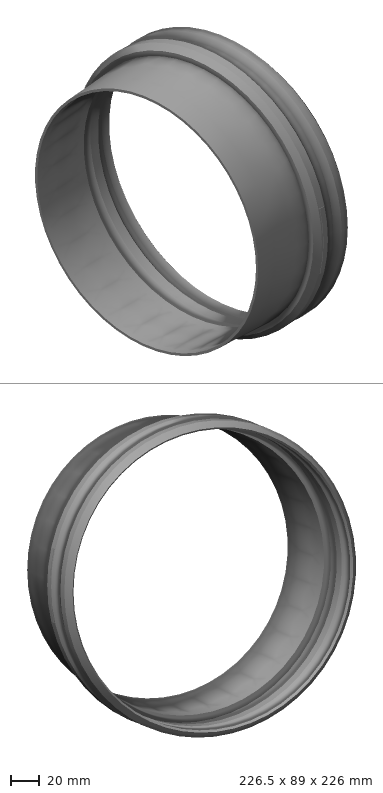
import cadquery as cq
import math


total_length = 89.0
wall = 2.0

ridge_radius = 226.0 / 2
groove_radius = 217.5 / 2
bevel_length = 4.3
ridge_flat = 6.5
groove_flat = 6.5
ridge_length = ridge_flat + 2 * bevel_length

sleeve_end_radius = 102.0
sleeve_root_radius = 104.6
shoulder_y = total_length - 2 * ridge_length - groove_flat

label_height = 0.5
label_width = 4.0
label_angle = 27.0
label_root_depth = 1.0


def ridge_points(start_y, inset, corner_shift):
    """Bevelled ridge from start_y towards +Y; inset and corner_shift give its inner side."""
    end_y = start_y + ridge_length
    base = groove_radius - inset
    crest = ridge_radius - inset
    return [
        (base, start_y + corner_shift),
        (crest, start_y + bevel_length + corner_shift),
        (crest, end_y - bevel_length - corner_shift),
        (base, end_y - corner_shift),
    ]


def revolve_about_y(profile, angle=360):
    return profile.close().revolve(angle, (0, 0, 0), (0, 1, 0))


def make_shell():
    """Revolve the wall section, which follows the ridges on the inside as well."""
    back_ridge_y = total_length - ridge_length
    corner_shift = wall * math.tan(math.radians(45 / 2))

    outer = [(sleeve_end_radius, 0), (sleeve_root_radius, shoulder_y)]
    outer += ridge_points(shoulder_y, 0, 0)
    outer += ridge_points(back_ridge_y, 0, 0)

    inner = [
        (sleeve_end_radius - wall, 0),
        (sleeve_root_radius - wall, shoulder_y + wall),
        (groove_radius - corner_shift, shoulder_y + wall),
    ]
    inner += ridge_points(shoulder_y, wall, corner_shift)[1:]
    inner += ridge_points(back_ridge_y, wall, corner_shift)[:-1]

    rim_slope = math.atan2(ridge_radius - groove_radius, bevel_length)
    rim_radius = groove_radius - wall * math.cos(rim_slope)
    rim_y = total_length - wall * math.sin(rim_slope)
    inner += [(rim_radius, rim_y)]

    return revolve_about_y(cq.Workplane("XY").polyline(outer + inner[::-1]))


def make_label_strip():
    """Curved strip standing slightly proud of the ridge, centred on +X."""
    centre_y = shoulder_y + ridge_length / 2
    inner_radius = ridge_radius - label_root_depth
    outer_radius = ridge_radius + label_height
    section = [
        (inner_radius, centre_y - label_width / 2),
        (outer_radius, centre_y - label_width / 2),
        (outer_radius, centre_y + label_width / 2),
        (inner_radius, centre_y + label_width / 2),
    ]
    strip = revolve_about_y(cq.Workplane("XY").polyline(section), label_angle)
    return strip.rotate((0, 0, 0), (0, 1, 0), -label_angle / 2)


result = make_shell().union(make_label_strip())